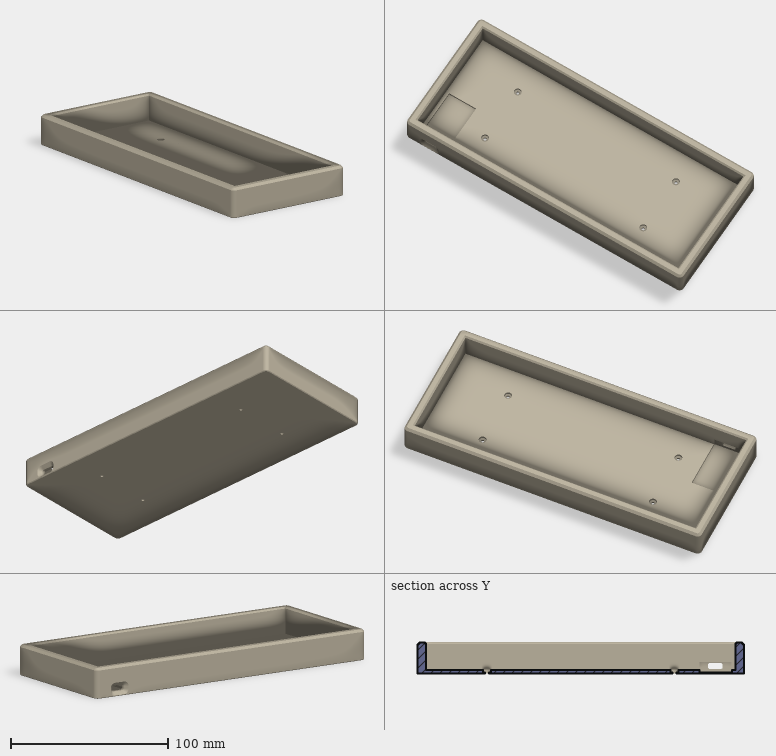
import cadquery as cq

length = 207.5
width = 88.4
height = 20.0
corner_diameter = 6.0
top_chamfer = 1.5
bottom_chamfer = 0.5

wall = 5.5
floor_thickness = 2.5
rim_chamfer = 1.0

head_diameter = 5.0
screw_diameter = 2.0
head_depth = 1.5
screw_spacing_x = 119.0
screw_spacing_y = 38.8

pocket_left = 75.5
pocket_right = 95.8
pocket_front = 4.8
pocket_depth = 1.5
pocket_wall_depth = 1.2
pocket_rise = 5.0

slot_width = 9.1
slot_height = 3.7
slot_corner_radius = 1.0
slot_center_height = 2.3
slot_web = 2.0
flare_angle = 45.0

cavity_length = length - 2 * wall
cavity_width = width - 2 * wall
cavity_back = cavity_width / 2
pocket_width = pocket_right - pocket_left
pocket_center_x = (pocket_left + pocket_right) / 2
screw_points = [
    (side_x * screw_spacing_x / 2, side_y * screw_spacing_y / 2)
    for side_x in (-1, 1)
    for side_y in (-1, 1)
]


def make_tray():
    """Open box with rounded corners, bevelled outer edges and a bevelled rim."""
    block = (
        cq.Workplane("XY")
        .box(length, width, height, centered=(True, True, False))
        .edges("|Z")
        .fillet(corner_diameter / 2)
    )
    block = block.faces(">Z").chamfer(top_chamfer)
    block = block.faces("<Z").chamfer(bottom_chamfer)
    cavity = (
        cq.Workplane("XY", origin=(0, 0, floor_thickness))
        .rect(cavity_length, cavity_width)
        .extrude(height - floor_thickness)
    )
    rim_bevel = (
        cq.Workplane("XY", origin=(0, 0, height))
        .rect(cavity_length + 2 * rim_chamfer, cavity_width + 2 * rim_chamfer)
        .workplane(offset=-rim_chamfer)
        .rect(cavity_length, cavity_width)
        .loft(ruled=True)
    )
    return block.cut(cavity).cut(rim_bevel)


def cut_screw_holes(tray):
    """Through holes with their counterbores open to the cavity floor."""
    return (
        tray.copyWorkplane(cq.Workplane("XY", origin=(0, 0, floor_thickness)))
        .pushPoints(screw_points)
        .cboreHole(screw_diameter, head_diameter, head_depth)
    )


def make_connector_pocket():
    """Rectangular pocket that runs along the floor and into the inside of the +Y wall."""
    pocket_length = cavity_back + pocket_wall_depth - pocket_front
    pocket_floor = floor_thickness - pocket_depth
    return (
        cq.Workplane("XY", origin=(pocket_center_x, pocket_front, pocket_floor))
        .box(pocket_width, pocket_length, pocket_depth + pocket_rise, centered=(True, False, False))
    )


def make_connector_slot():
    """Slot with rounded corners through the web, flaring out to the outside of the +Y wall."""
    slot_profile = (
        cq.Sketch()
        .rect(slot_width, slot_height)
        .vertices()
        .fillet(slot_corner_radius)
    )
    pocket_back = cavity_back + pocket_wall_depth
    web_outside = pocket_back + slot_web
    slot_center_z = floor_thickness + slot_center_height
    throat = (
        cq.Workplane("XZ", origin=(pocket_center_x, web_outside, slot_center_z))
        .placeSketch(slot_profile)
        .extrude(slot_web)
    )
    flare = (
        cq.Workplane("XZ", origin=(pocket_center_x, web_outside, slot_center_z))
        .placeSketch(slot_profile)
        .extrude(-(width / 2 - web_outside), taper=-flare_angle)
    )
    return throat.union(flare)


result = (
    cut_screw_holes(make_tray())
    .cut(make_connector_pocket())
    .cut(make_connector_slot())
)